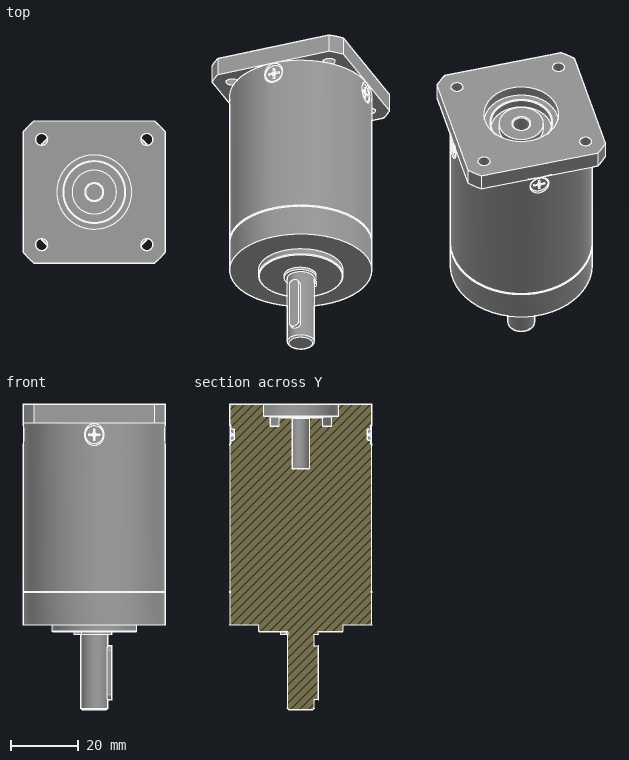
import cadquery as cq
import math


BODY_DIAMETER = 42.0
CAP_HEIGHT = 9.8
JOINT_GROOVE_WIDTH = 0.3
JOINT_GROOVE_DEPTH = 0.2

BODY_TOP = 59.6
FLANGE_SIZE = 42.0
FLANGE_THICKNESS = 5.6
FLANGE_CORNER_DIAMETER = 55.0
FLANGE_TOP = BODY_TOP + FLANGE_THICKNESS
BOLT_SPACING = 31.0
BOLT_HOLE_DIAMETER = 3.5

PILOT_BORE_DIAMETER = 22.0
PILOT_BORE_DEPTH = 3.5
INNER_BORE_DIAMETER = 18.0
INNER_BORE_DEPTH = 3.0
INNER_BORE_CHAMFER = 0.25
COUPLING_DIAMETER = 13.0
COUPLING_TOP_GAP = 0.5
COUPLING_BORE_DIAMETER = 5.0
COUPLING_BORE_DEPTH = 15.0
COUPLING_BORE_CHAMFER = 0.3

PILOT_DIAMETER = 25.0
PILOT_HEIGHT = 2.0
PILOT_CHAMFER = 0.25
SHAFT_DIAMETER = 8.0
SHAFT_LENGTH = 25.0
SHAFT_CHAMFER = 0.5
KEY_WIDTH = 3.0
KEY_LENGTH = 16.0
KEY_OUTER_X = 5.2
KEY_START = 6.0

RING_THICKNESS = 0.8
RING_RADIUS = 4.75
RING_OFFSET_X = 0.45
RING_GROOVE_DIAMETER = 7.6
RING_GAP = 1.2
EAR_RADIUS = 1.2
EAR_X = -4.8
EAR_Y = RING_GAP / 2 + EAR_RADIUS

SCREW_COUNT = 4
SCREW_BELOW_TOP = 3.4
SINK_DIAMETER = 6.4
SCREW_HEAD_DIAMETER = 5.3
SINK_DEPTH = 0.35
SCREW_FACE_RADIUS = BODY_DIAMETER / 2 - SINK_DEPTH
CROSS_LENGTH = 3.4
CROSS_WIDTH = 0.45
CROSS_DEPTH = 1.0
CROSS_TAPER = 10.0
CROSS_CORE_TAPER = 25.0
CROSS_CORE_DIAMETER = 1.2

CUT_MARGIN = 1.0


def cylinder(diameter, bottom, height):
    return cq.Workplane("XY").workplane(offset=bottom).circle(diameter / 2).extrude(height)


def make_body():
    body = cylinder(BODY_DIAMETER, 0, BODY_TOP)
    groove_bottom = CAP_HEIGHT - JOINT_GROOVE_WIDTH / 2
    core = cylinder(BODY_DIAMETER - 2 * JOINT_GROOVE_DEPTH, groove_bottom, JOINT_GROOVE_WIDTH)
    groove = cylinder(BODY_DIAMETER + CUT_MARGIN, groove_bottom, JOINT_GROOVE_WIDTH).cut(core)
    return body.cut(groove)


def make_flange():
    square = cq.Workplane("XY").box(FLANGE_SIZE, FLANGE_SIZE, FLANGE_THICKNESS, centered=(True, True, False))
    square = square.translate((0, 0, BODY_TOP))
    return square.intersect(cylinder(FLANGE_CORNER_DIAMETER, BODY_TOP, FLANGE_THICKNESS))


def make_bolt_holes():
    """Cutter for the holes through the flange, which end at the top face of the body."""
    return (
        cq.Workplane("XY").workplane(offset=BODY_TOP)
        .rect(BOLT_SPACING, BOLT_SPACING, forConstruction=True).vertices()
        .circle(BOLT_HOLE_DIAMETER / 2).extrude(FLANGE_THICKNESS)
    )


def chamfered_bore(diameter, top, depth, chamfer):
    """Cutter for a blind bore that opens upward through a 45 degree chamfer."""
    radius = diameter / 2
    profile = [
        (0, top),
        (radius + chamfer, top),
        (radius, top - chamfer),
        (radius, top - depth),
        (0, top - depth),
    ]
    return cq.Workplane("XZ").polyline(profile).close().revolve(360, (0, 0), (0, 1))


def cut_motor_recess(part):
    pilot_floor = FLANGE_TOP - PILOT_BORE_DEPTH
    inner_floor = pilot_floor - INNER_BORE_DEPTH
    coupling_top = pilot_floor - COUPLING_TOP_GAP
    part = part.cut(cylinder(PILOT_BORE_DIAMETER, pilot_floor, PILOT_BORE_DEPTH))
    part = part.cut(chamfered_bore(INNER_BORE_DIAMETER, pilot_floor, INNER_BORE_DEPTH, INNER_BORE_CHAMFER))
    part = part.union(cylinder(COUPLING_DIAMETER, inner_floor, coupling_top - inner_floor))
    return part.cut(
        chamfered_bore(COUPLING_BORE_DIAMETER, coupling_top, COUPLING_BORE_DEPTH, COUPLING_BORE_CHAMFER)
    )


def make_ring_seat():
    """Cutter for the groove in the shaft that holds the retaining ring."""
    bottom = -PILOT_HEIGHT - RING_THICKNESS
    core = cylinder(RING_GROOVE_DIAMETER, bottom, RING_THICKNESS)
    return cylinder(SHAFT_DIAMETER + CUT_MARGIN, bottom, RING_THICKNESS).cut(core)


def make_output():
    pilot = cylinder(PILOT_DIAMETER, -PILOT_HEIGHT, PILOT_HEIGHT).faces("<Z").chamfer(PILOT_CHAMFER)
    shaft = cylinder(SHAFT_DIAMETER, -SHAFT_LENGTH, SHAFT_LENGTH).faces("<Z").chamfer(SHAFT_CHAMFER)
    key = (
        cq.Workplane("YZ").center(0, -KEY_START - KEY_LENGTH / 2)
        .slot2D(KEY_LENGTH, KEY_WIDTH, 90).extrude(KEY_OUTER_X)
    )
    ring_seat = make_ring_seat()
    return pilot.union(shaft.cut(ring_seat)).union(key)


def make_retaining_ring():
    plane = cq.Workplane("XY").workplane(offset=-PILOT_HEIGHT - RING_THICKNESS)
    ring = plane.center(RING_OFFSET_X, 0).circle(RING_RADIUS).extrude(RING_THICKNESS)
    ears = plane.pushPoints([(EAR_X, EAR_Y), (EAR_X, -EAR_Y)]).circle(EAR_RADIUS).extrude(RING_THICKNESS)
    gap = plane.center(-RING_RADIUS, 0).rect(2 * RING_RADIUS, RING_GAP).extrude(RING_THICKNESS)
    return ring.union(ears).cut(gap)


def make_screw_cutter():
    """Cutter for one screw on the -Y side: countersink down to the head, then its cross recess."""
    face = cq.Workplane("XZ", origin=(0, -SCREW_FACE_RADIUS, BODY_TOP - SCREW_BELOW_TOP))
    sink_widening = (SINK_DIAMETER - SCREW_HEAD_DIAMETER) / 2
    sink_taper = math.degrees(math.atan2(sink_widening, SINK_DEPTH))
    sink = face.circle(SCREW_HEAD_DIAMETER / 2).extrude(SINK_DEPTH, taper=-sink_taper)
    core = face.circle(CROSS_CORE_DIAMETER / 2).extrude(-CROSS_DEPTH, taper=CROSS_CORE_TAPER)
    cutter = sink.union(core)
    for length, height in [(CROSS_LENGTH, CROSS_WIDTH), (CROSS_WIDTH, CROSS_LENGTH)]:
        cutter = cutter.union(face.rect(length, height).extrude(-CROSS_DEPTH, taper=CROSS_TAPER))
    return cutter


def cut_screws(part):
    cutter = make_screw_cutter()
    for index in range(SCREW_COUNT):
        part = part.cut(cutter.rotate((0, 0, 0), (0, 0, 1), index * 360 / SCREW_COUNT))
    return part


result = make_body().union(make_flange()).cut(make_bolt_holes())
result = cut_motor_recess(result)
result = result.union(make_output()).union(make_retaining_ring())
result = cut_screws(result)